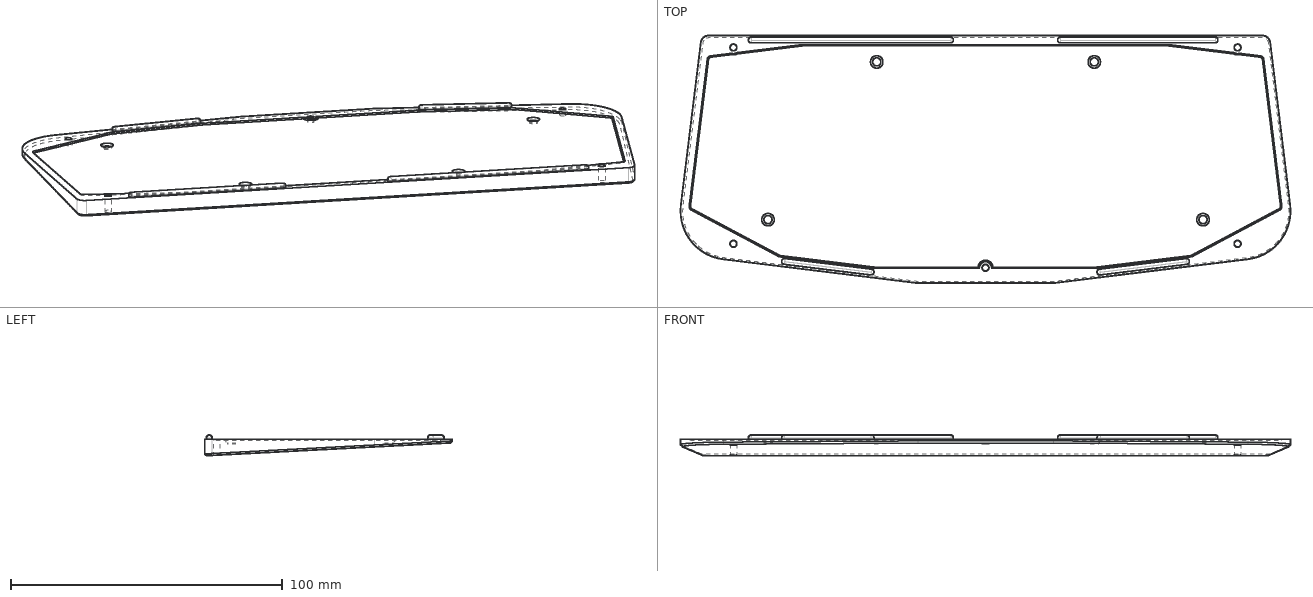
import cadquery as cq
import math

WIDTH = 224.42
DEPTH = 91.15
TOTAL_HEIGHT = 7.71
FRONT_THICKNESS = 1.42
BOTTOM_SLOPE = math.radians(3)
TAPER_ANGLE = math.radians(7)
SIDE_TAPER = math.tan(TAPER_ANGLE)
CUT_MARGIN = 1.0

FRONT_FLAT_HALF = 25.0
FRONT_CORNER_RADIUS = 18.0
BACK_CORNER_RADIUS = 3.0
BOTTOM_CHAMFER = 0.75

POCKET_DEPTH = 0.5
POCKET_FRONT_Y = 5.45
POCKET_BACK_Y = 87.75
POCKET_FRONT_FLAT_HALF = 41.0
POCKET_FRONT_KINK_X = 75.8
POCKET_SIDE_FRONT = (109.1, 27.4)
POCKET_BACK_FLAT_HALF = 67.5
POCKET_BACK_CORNER_X = 102.2
POCKET_CORNER_RADIUS = 1.5
WALL_TAPER = 45

SCREW_DIAMETER = 2.4
PILLAR_BASE_DIAMETER = 5.5
SCREW_CENTER_Y = 5.7
SCREW_X = 92.7
SCREW_BACK_Y = 86.7
SCREW_FRONT_Y = 14.5

SOCKET_MOUTH_DIAMETER = 4.6
SOCKET_CONE_DEPTH = 0.8
SOCKET_BORE_DEPTH = 0.4
SOCKET_BACK = (40.0, 81.4)
SOCKET_FRONT = (80.0, 23.4)

RIDGE_WIDTH = 2.1
RIDGE_CROWN_FLAT = 0.02
RIDGE_ROUNDING = (RIDGE_WIDTH - RIDGE_CROWN_FLAT) / 2
BACK_RIDGE_INSET = 1.72
BACK_RIDGE_SPANS = [(-87.2, -11.8), (26.5, 85.5)]
FRONT_RIDGE_INSET = 2.0
FRONT_RIDGE_SPAN = (41.0, 75.0)

BACK_THICKNESS = FRONT_THICKNESS + DEPTH * math.tan(BOTTOM_SLOPE)
LOWEST_DEPTH = BACK_THICKNESS - BOTTOM_CHAMFER * math.sin(BOTTOM_SLOPE)
RIDGE_HEIGHT = TOTAL_HEIGHT - LOWEST_DEPTH


def with_mirror_image(half_points):
    """Extend a right-hand chain of points, ordered front to back, with its mirror image."""
    return half_points + [(-x, y) for x, y in reversed(half_points)]


def front_edge_y(x):
    """Y of the tapered front edge at a distance x from the mirror line."""
    return (x - FRONT_FLAT_HALF) * SIDE_TAPER


def make_plate():
    """Tapered plate whose underside slopes down from front to back."""
    corner_overhang = FRONT_CORNER_RADIUS * (math.sin(TAPER_ANGLE) + math.cos(TAPER_ANGLE) - 1)
    corner_x = WIDTH / 2 + corner_overhang
    corner_y = front_edge_y(corner_x)
    back_x = corner_x - (DEPTH - corner_y) * SIDE_TAPER
    half_points = [(FRONT_FLAT_HALF, 0), (corner_x, corner_y), (back_x, DEPTH)]

    outline = cq.Workplane("XY").polyline(with_mirror_image(half_points)).close()
    plate = outline.extrude(-BACK_THICKNESS)
    for side in (-1, 1):
        front_corner = cq.selectors.NearestToPointSelector((side * corner_x, corner_y, -BACK_THICKNESS / 2))
        plate = plate.edges(front_corner).fillet(FRONT_CORNER_RADIUS)
        back_corner = cq.selectors.NearestToPointSelector((side * back_x, DEPTH, -BACK_THICKNESS / 2))
        plate = plate.edges(back_corner).fillet(BACK_CORNER_RADIUS)

    side_profile = [(0, 0), (DEPTH, 0), (DEPTH, -BACK_THICKNESS), (0, -FRONT_THICKNESS)]
    wedge = cq.Workplane("YZ").polyline(side_profile).close().extrude(WIDTH / 2 + CUT_MARGIN, both=True)
    plate = plate.intersect(wedge)
    return plate.faces("<Z").edges().chamfer(BOTTOM_CHAMFER)


def screw_points():
    """Centres of the four corner screws and the front middle screw."""
    corners = [(side * SCREW_X, y) for side in (-1, 1) for y in (SCREW_FRONT_Y, SCREW_BACK_Y)]
    return corners + [(0, SCREW_CENTER_Y)]


def make_pocket():
    """Pocket volume, notched around the screw pillars."""
    front_kink_rise = (POCKET_FRONT_KINK_X - POCKET_FRONT_FLAT_HALF) * SIDE_TAPER
    back_corner_drop = (POCKET_BACK_CORNER_X - POCKET_BACK_FLAT_HALF) * SIDE_TAPER
    half_points = [
        (POCKET_FRONT_FLAT_HALF, POCKET_FRONT_Y),
        (POCKET_FRONT_KINK_X, POCKET_FRONT_Y + front_kink_rise),
        POCKET_SIDE_FRONT,
        (POCKET_BACK_CORNER_X, POCKET_BACK_Y - back_corner_drop),
        (POCKET_BACK_FLAT_HALF, POCKET_BACK_Y),
    ]
    points = with_mirror_image(half_points)
    outline = cq.Sketch().polygon(points + points[:1]).vertices().fillet(POCKET_CORNER_RADIUS)
    pocket = cq.Workplane("XY").placeSketch(outline).extrude(-POCKET_DEPTH, taper=WALL_TAPER)
    floor = cq.Workplane("XY", origin=(0, 0, -POCKET_DEPTH))
    for point in screw_points():
        pillar = floor.moveTo(*point).circle(PILLAR_BASE_DIAMETER / 2).extrude(POCKET_DEPTH, taper=WALL_TAPER)
        pocket = pocket.cut(pillar)
    return pocket


def make_screw_holes():
    """Drills that pass right through the plate."""
    drill = cq.Workplane("XY").pushPoints(screw_points()).circle(SCREW_DIAMETER / 2)
    return drill.extrude(TOTAL_HEIGHT, both=True)


def make_sockets():
    """Countersunk blind holes below the pocket floor."""
    points = [(side * x, y) for side in (-1, 1) for x, y in (SOCKET_BACK, SOCKET_FRONT)]
    floor = cq.Workplane("XY", origin=(0, 0, -POCKET_DEPTH)).pushPoints(points)
    cones = floor.circle(SOCKET_MOUTH_DIAMETER / 2).extrude(-SOCKET_CONE_DEPTH, taper=WALL_TAPER)
    bore_radius = SOCKET_MOUTH_DIAMETER / 2 - SOCKET_CONE_DEPTH * math.tan(math.radians(WALL_TAPER))
    bores = floor.circle(bore_radius).extrude(-SOCKET_CONE_DEPTH - SOCKET_BORE_DEPTH)
    return cones.union(bores)


def make_ridge(length, center, angle):
    """Round-ended bar with a rounded top, turned about Z and rooted on the rim."""
    bar = cq.Workplane("XY").slot2D(length, RIDGE_WIDTH).extrude(RIDGE_HEIGHT)
    bar = bar.faces(">Z").edges().fillet(RIDGE_ROUNDING)
    return bar.rotate((0, 0, 0), (0, 0, 1), angle).translate(center)


def make_ridges():
    """Two ridges along the back edge and a mirrored pair along the tapered front edges."""
    ridges = []
    back_y = DEPTH - BACK_RIDGE_INSET
    for start, end in BACK_RIDGE_SPANS:
        ridges.append(make_ridge(end - start, ((start + end) / 2, back_y, 0), 0))

    start, end = FRONT_RIDGE_SPAN
    middle_x = (start + end) / 2
    middle_y = front_edge_y(middle_x) + FRONT_RIDGE_INSET / math.cos(TAPER_ANGLE)
    length = (end - start) / math.cos(TAPER_ANGLE)
    for side in (-1, 1):
        angle = side * math.degrees(TAPER_ANGLE)
        ridges.append(make_ridge(length, (side * middle_x, middle_y, 0), angle))
    return ridges


result = make_plate().cut(make_pocket()).cut(make_sockets())
for ridge in make_ridges():
    result = result.union(ridge)
result = result.cut(make_screw_holes())